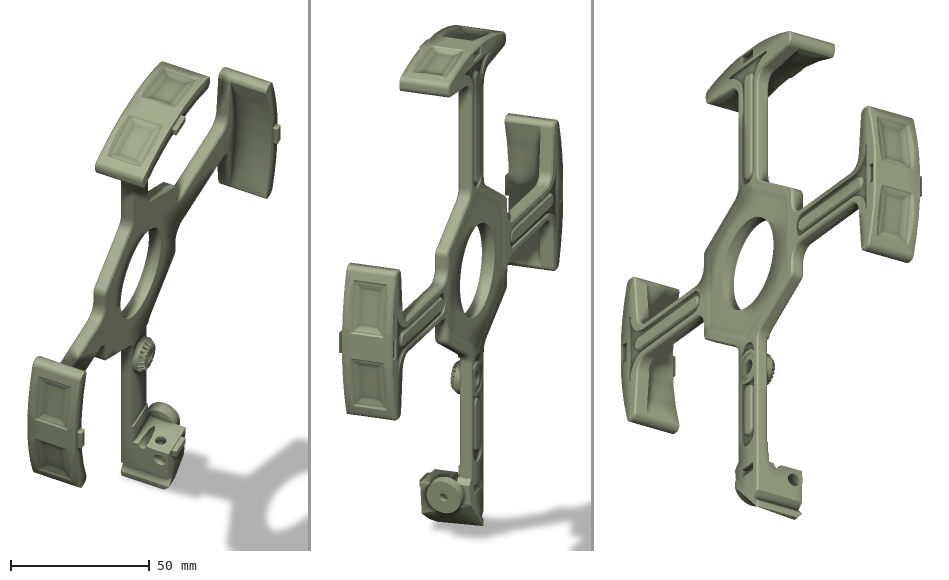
import cadquery as cq
import math

reach = 86.5
foot_reach = 101.1
frame_thickness = 5.0
depth = 19.1
edge_chamfer = 0.5

hex_apothem = 30.2
hex_corner_radius = 2.8
bore_diameter = 34.7
recess_apothem = 27.2
recess_depth = 0.2
recess_bevel = 1.7

arm_half_width = 6.5
arm_fillet = 5.0
lower_arm_thickness = 4.5
lower_arm_top = 31.9
lower_arm_bottom = 74.0
root_margin = 0.8
thin_margin = 0.2

groove_half_width = 4.3
groove_start = 32.3
groove_end = 80.7
groove_depth = 1.1
flare_half_width = 13.0
flare_edge = 79.5
rib_half_width = 3.0
rib_bevel = 0.85
rib_start = 33.5
rib_end = 77.1

head_half_width = 28.9
head_flat_half_width = 6.5
head_radius = math.hypot(reach, head_flat_half_width)
head_inner_radius = 81.2
head_inner_end = 76.7
head_inner_root = 74.5
head_corner_radius = 2.5

pocket_middle = 14.6
pocket_length = 21.8
pocket_width = 15.0
pocket_x = 9.5
pocket_bevel_width = 1.7
pocket_bevel_depth = 1.1
pocket_ledge = 0.4
floor_bevel_width = 2.0
floor_bevel_depth = 0.8

peg_radius = 83.7
peg_length = 7.7
peg_width = 2.6
peg_height = 1.9
socket_width = 3.2
socket_depth = 2.3

knob_diameter = 13.0
knob_tip_diameter = 10.0
knob_rim_height = 2.0
knob_height = 4.1
knob_teeth = 20
tooth_gap = 0.5
tooth_depth = 0.8
knob_bore = 5.5
screw_z = -41.8
screw_seat_diameter = 10.3
screw_seat_depth = 0.4

lower_groove_end = 73.7
lower_rib_start = 49.0
lower_rib_end = 69.8

foot_top = -81.8
foot_shoulder = -78.2
cheek_top = (8.5, -80.3)
cheek_bottom = (7.3, -88.0)
near_slope_start = (6.8, -88.5)
near_slope_end = (-6.2, -foot_reach)
far_slope_start = (6.5, -94.2)
far_slope_end = (-4.1, -foot_reach)
clamp_tilt = 8.6
clamp_x = 8.6
clamp_y = 12.0
clamp_z = -84.6
clamp_knob_height = 4.5
clamp_knob_chamfer = 0.8
clamp_bore = 3.2
cross_hole_diameter = 4.9
cross_hole_x = 15.5
cross_hole_z = -86.3
cross_hole_depth = 7.5
top_hole_diameter = 4.1
top_hole_x = 13.7
top_hole_y = -1.5
top_hole_depth = 2.8
notch_z = -96.6
notch_half_height = 2.3
notch_depth = 2.6
tip_chamfer = 1.9


def face_plane(x=0):
    """Sketch plane across the X axis: local axes are Y and Z, normal is +X."""
    return cq.Workplane("YZ", origin=(x, 0, 0))


def turned(shape, angle):
    """Turn a shape about the ring axis."""
    return shape.rotate((0, 0, 0), (1, 0, 0), angle)


def hexagon(apothem):
    """Hexagon sketch with one corner pointing along +Z."""
    corner = apothem / math.cos(math.radians(30))
    angles = [math.radians(90 + 60 * i) for i in range(6)]
    return face_plane().polyline([(corner * math.cos(a), corner * math.sin(a)) for a in angles]).close()


def racetrack(half_width, start, end, x=0):
    """Slot sketch running along +Z between two distances from the axis."""
    middle = (start + end) / 2
    return face_plane(x).center(0, middle).slot2D(end - start, 2 * half_width, 90)


def head_profile():
    """Outline of a head: flat crown, two arcs and sloping inner sides."""
    end_z = math.sqrt(head_radius**2 - head_half_width**2)
    arc_y = (head_flat_half_width + head_half_width) / 2
    arc_z = math.sqrt(head_radius**2 - arc_y**2)
    return (
        face_plane()
        .moveTo(-head_flat_half_width, reach)
        .lineTo(head_flat_half_width, reach)
        .threePointArc((arc_y, arc_z), (head_half_width, end_z))
        .lineTo(head_half_width, head_inner_end)
        .lineTo(arm_half_width, head_inner_root)
        .lineTo(-arm_half_width, head_inner_root)
        .lineTo(-head_half_width, head_inner_end)
        .lineTo(-head_half_width, end_z)
        .threePointArc((-arc_y, arc_z), (-head_flat_half_width, reach))
        .close()
    )


def make_head(thickness):
    """Solid head with rounded ends."""
    head = head_profile().extrude(thickness)
    for side in (-1, 1):
        ends = cq.selectors.BoxSelector(
            (0, side * (head_half_width - root_margin), 0),
            (thickness, side * (head_half_width + root_margin), reach),
        )
        head = head.edges("|X").edges(ends).fillet(head_corner_radius)
    return head


def make_frame():
    """Ring, arms and head plates as one slab with filleted inner corners."""
    frame = hexagon(hex_apothem).extrude(frame_thickness).edges("|X").fillet(hex_corner_radius)
    for angle in (0, 90, -90):
        arm = cq.Workplane("XY").box(
            frame_thickness, 2 * arm_half_width, peg_radius, centered=(False, True, False)
        )
        frame = frame.union(turned(arm.union(make_head(frame_thickness)), angle))
    lower_arm = cq.Workplane("XY").box(
        frame_thickness, 2 * arm_half_width, -foot_top, centered=(False, True, False)
    )
    frame = frame.union(turned(lower_arm, 180))

    vertex_root = (hex_apothem - arm_half_width / 2) / math.cos(math.radians(30))
    roots = [(angle, vertex_root) for angle in (0, 180)]
    roots += [(angle, hex_apothem) for angle in (90, -90)]
    roots += [(angle, head_inner_root) for angle in (0, 90, -90)]
    for angle, distance in roots:
        turn = math.radians(angle)
        for side in (-arm_half_width, arm_half_width):
            y = side * math.cos(turn) - distance * math.sin(turn)
            z = side * math.sin(turn) + distance * math.cos(turn)
            near = cq.selectors.BoxSelector(
                (0, y - root_margin, z - root_margin), (frame_thickness, y + root_margin, z + root_margin)
            )
            frame = frame.edges("|X").edges(near).fillet(arm_fillet)

    frame = frame.faces("<X or >X").edges().chamfer(edge_chamfer)
    bore = face_plane().circle(bore_diameter / 2).extrude(frame_thickness)
    thinned = (
        face_plane(lower_arm_thickness)
        .center(0, -(lower_arm_top + lower_arm_bottom) / 2)
        .rect(2 * hex_apothem, lower_arm_bottom - lower_arm_top)
        .extrude(frame_thickness)
    )
    frame = frame.cut(bore).cut(thinned)
    thin_edges = cq.selectors.BoxSelector(
        (lower_arm_thickness - thin_margin, -hex_apothem, -lower_arm_bottom),
        (lower_arm_thickness + thin_margin, hex_apothem, -lower_arm_top),
    )
    return frame.edges("|Z").edges(thin_edges).chamfer(edge_chamfer)


def make_ring_recess():
    """Shallow hexagonal recess with a wide bevel."""
    taper = math.degrees(math.atan2(recess_bevel, recess_depth))
    return hexagon(recess_apothem).extrude(recess_depth, taper=taper)


def make_rib(start, end):
    """Rib flush with the frame face, wider at the groove floor."""
    taper = math.degrees(math.atan2(rib_bevel, groove_depth))
    return racetrack(rib_half_width, start, end, groove_depth).extrude(-groove_depth, taper=taper)


def make_arm_groove():
    """Groove that flares out below the head, less its central rib."""
    flare_radius = flare_half_width - groove_half_width
    flare_low = flare_edge - flare_radius
    bend = flare_radius * math.sqrt(0.5)
    bend_y = flare_half_width - bend
    bend_z = flare_low + bend
    groove = racetrack(groove_half_width, groove_start, flare_edge).extrude(groove_depth)
    flare = (
        face_plane()
        .moveTo(-groove_half_width, flare_low)
        .lineTo(groove_half_width, flare_low)
        .threePointArc((bend_y, bend_z), (flare_half_width, flare_edge))
        .lineTo(flare_half_width, groove_end)
        .lineTo(-flare_half_width, groove_end)
        .lineTo(-flare_half_width, flare_edge)
        .threePointArc((-bend_y, bend_z), (-groove_half_width, flare_low))
        .close()
        .extrude(groove_depth)
    )
    return groove.union(flare).cut(make_rib(rib_start, rib_end))


def make_lower_groove():
    """Groove of the lower arm, interrupted by the flush boss of the screw."""
    groove = racetrack(groove_half_width, groove_start, lower_groove_end).extrude(groove_depth)
    boss = face_plane().center(0, -screw_z).circle(knob_diameter / 2).extrude(groove_depth)
    return turned(groove.cut(boss).cut(make_rib(lower_rib_start, lower_rib_end)), 180)


def make_pocket(side):
    """Two-step pocket with sloping walls, sunk square to the crown."""
    tilt = math.asin(pocket_middle / head_radius)
    normal = (0, side * math.sin(tilt), math.cos(tilt))
    surface = cq.Plane(
        origin=(pocket_x, side * pocket_middle, head_radius * math.cos(tilt)), xDir=(1, 0, 0), normal=normal
    )
    upper_taper = math.degrees(math.atan2(pocket_bevel_width, pocket_bevel_depth))
    floor_taper = math.degrees(math.atan2(floor_bevel_width, floor_bevel_depth))
    upper = cq.Workplane(surface).rect(pocket_width, pocket_length)
    upper = upper.extrude(-pocket_bevel_depth, taper=upper_taper)
    inset = 2 * (pocket_bevel_width + pocket_ledge)
    lower = cq.Workplane(surface).workplane(offset=-pocket_bevel_depth)
    lower = lower.rect(pocket_width - inset, pocket_length - inset)
    return upper.union(lower.extrude(-floor_bevel_depth, taper=floor_taper))


def make_peg():
    """Locating peg on the far face."""
    return face_plane(depth).center(0, peg_radius).rect(peg_length, peg_width).extrude(peg_height)


def make_socket():
    """Socket in the frame face, opposite a peg."""
    return face_plane().center(0, peg_radius).rect(peg_length, socket_width).extrude(socket_depth)


def make_knob():
    """Thumbscrew head standing on the XY plane, tapered and toothed at its tip."""
    rim = knob_diameter / 2
    tip = knob_tip_diameter / 2
    knob = (
        cq.Workplane("XZ")
        .polyline([(0, 0), (rim, 0), (rim, knob_rim_height), (tip, knob_height), (0, knob_height)])
        .close()
        .revolve(360, (0, 0, 0), (0, 1, 0))
    )
    gap = cq.Workplane("XY").box(knob_diameter / 2, tooth_gap, knob_height, centered=(False, True, False))
    gap = gap.translate((tip - tooth_depth, 0, knob_rim_height))
    for i in range(knob_teeth):
        knob = knob.cut(gap.rotate((0, 0, 0), (0, 0, 1), 360 * i / knob_teeth))
    return knob


def make_foot():
    """Clamp foot: its lower slope leans outward away from the frame face."""
    top = [(-arm_half_width, foot_shoulder), (arm_half_width, foot_shoulder), cheek_top, cheek_bottom]
    tip = (-arm_half_width, -foot_reach)
    near_outline = top + [near_slope_start, near_slope_end, tip]
    far_outline = top + [far_slope_start, far_slope_end, tip]
    foot = (
        face_plane()
        .polyline(near_outline)
        .close()
        .workplane(offset=depth)
        .polyline(far_outline)
        .close()
        .loft(ruled=True)
    )
    above_top = (
        face_plane(frame_thickness)
        .center(0, (foot_top + foot_shoulder) / 2)
        .rect(hex_apothem, foot_shoulder - foot_top)
        .extrude(depth)
    )
    notch = (
        face_plane()
        .polyline([
            (-arm_half_width, notch_z + notch_half_height),
            (notch_depth - arm_half_width, notch_z),
            (-arm_half_width, notch_z - notch_half_height),
        ])
        .close()
        .extrude(depth)
    )
    tip_corner = (
        cq.Workplane("XZ")
        .polyline([
            (depth, -foot_reach),
            (depth - tip_chamfer, -foot_reach),
            (depth, tip_chamfer - foot_reach),
        ])
        .close()
        .extrude(hex_apothem, both=True)
    )
    cross_hole = (
        cq.Workplane("XZ", origin=(cross_hole_x, -arm_half_width, cross_hole_z))
        .circle(cross_hole_diameter / 2)
        .extrude(-cross_hole_depth)
    )
    top_hole = (
        cq.Workplane("XY", origin=(top_hole_x, top_hole_y, foot_top))
        .circle(top_hole_diameter / 2)
        .extrude(-top_hole_depth)
    )
    foot = foot.faces("<Y").edges("<X").chamfer(edge_chamfer)
    return foot.cut(above_top).cut(notch).cut(tip_corner).cut(cross_hole).cut(top_hole)


def on_clamp_screw(shape):
    """Move a shape from the Z axis to the tilted clamp screw, pointing to -Y."""
    return shape.rotate((0, 0, 0), (1, 0, 0), 90 - clamp_tilt).translate((clamp_x, clamp_y, clamp_z))


result = make_frame().cut(make_ring_recess()).cut(make_lower_groove())

hollow = face_plane(frame_thickness).circle(head_inner_radius).extrude(depth)
head = make_head(depth).faces("<X").edges().chamfer(edge_chamfer).cut(hollow)
for head_angle in (0, 90, -90):
    result = result.union(turned(head, head_angle)).cut(turned(make_arm_groove(), head_angle))
    for pocket_side in (-1, 1):
        result = result.cut(turned(make_pocket(pocket_side), head_angle))

result = result.union(make_foot())
for peg_angle in (0, 90, 180, -90):
    result = result.union(turned(make_peg(), peg_angle)).cut(turned(make_socket(), peg_angle))

arm_knob = make_knob().rotate((0, 0, 0), (0, 1, 0), 90).translate((lower_arm_thickness, 0, screw_z))
arm_bore = face_plane().center(0, screw_z).circle(knob_bore / 2).extrude(depth)
screw_seat = face_plane().center(0, screw_z).circle(screw_seat_diameter / 2).extrude(screw_seat_depth)
result = result.union(arm_knob).cut(arm_bore).cut(screw_seat)

clamp_knob = cq.Workplane("XY").circle(knob_diameter / 2).extrude(clamp_knob_height)
clamp_knob = clamp_knob.faces(">Z").chamfer(clamp_knob_chamfer)
clamp_hole = cq.Workplane("XY").circle(clamp_bore / 2).extrude(2 * depth)
result = result.union(on_clamp_screw(clamp_knob)).cut(on_clamp_screw(clamp_hole))